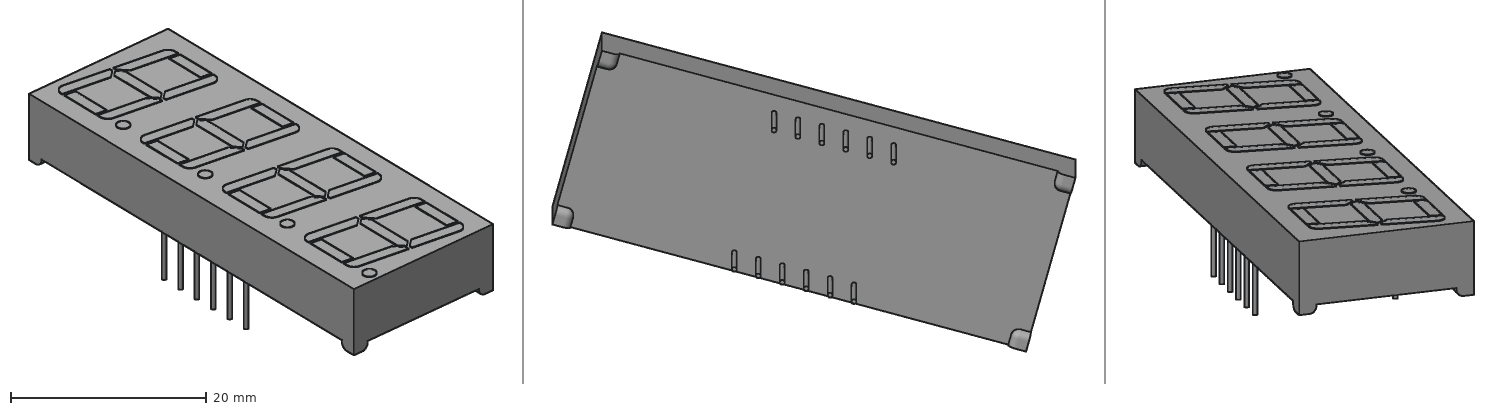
import cadquery as cq
import math

BODY_LENGTH = 50.3
BODY_WIDTH = 19.0
BODY_TOP = 8.0
UNDERSIDE = 0.95

FOOT_SIZE = 1.9
FOOT_ROUND = 0.8

GRID = 2.54
PIN_DIAMETER = 0.51
PIN_LENGTH_BELOW_FEET = 6.3
PINS_PER_ROW = 6
PIN_ROW_SPACING = 6 * GRID

RAISE = 0.1
DIGIT_COUNT = 4
DIGIT_PITCH = 5 * GRID
SLANT = math.tan(math.radians(8.0))
HALF_WIDTH = 4.07
HALF_HEIGHT = 7.05
SEGMENT_WIDTH = 1.36
SEGMENT_GAP = 0.27
MIDDLE_TIP = 3.5
UPRIGHT_END = 0.23
DIGIT_CORNER_RADIUS = 1.0

POINT_DIAMETER = 1.5
POINT_OFFSET = 4.87


def centred_positions(count, pitch):
    return [(i - (count - 1) / 2) * pitch for i in range(count)]


def make_body():
    height = BODY_TOP - UNDERSIDE
    return (
        cq.Workplane("XY")
        .workplane(offset=UNDERSIDE)
        .rect(BODY_LENGTH, BODY_WIDTH)
        .extrude(height)
    )


def make_foot(side_x, side_y):
    """Square foot at one corner, its two inner bottom edges rounded."""
    foot = cq.Workplane("XY").box(FOOT_SIZE, FOOT_SIZE, UNDERSIDE, centered=(True, True, False))
    inner_x = "<X" if side_x > 0 else ">X"
    inner_y = "<Y" if side_y > 0 else ">Y"
    foot = foot.faces(inner_x).edges("<Z").fillet(FOOT_ROUND)
    foot = foot.faces(inner_y).edges("<Z").fillet(FOOT_ROUND)
    centre_x = side_x * (BODY_LENGTH - FOOT_SIZE) / 2
    centre_y = side_y * (BODY_WIDTH - FOOT_SIZE) / 2
    return foot.translate((centre_x, centre_y, 0))


def make_pins():
    rows = centred_positions(2, PIN_ROW_SPACING)
    columns = centred_positions(PINS_PER_ROW, GRID)
    return (
        cq.Workplane("XY")
        .workplane(offset=-PIN_LENGTH_BELOW_FEET)
        .pushPoints([(x, y) for x in columns for y in rows])
        .circle(PIN_DIAMETER / 2)
        .extrude(PIN_LENGTH_BELOW_FEET + UNDERSIDE)
    )


def make_segment(outline, centre_x):
    """Raised plate from an upright outline, leaned over and moved to its digit."""
    leaned = [(centre_x + x + SLANT * y, y) for x, y in outline]
    return cq.Workplane("XY").workplane(offset=BODY_TOP).polyline(leaned).close().extrude(RAISE)


def make_end_bar(side_y, centre_x):
    """Top or bottom bar of a digit."""
    half_length = HALF_WIDTH - SEGMENT_WIDTH - SEGMENT_GAP
    outer = side_y * HALF_HEIGHT
    inner = side_y * (HALF_HEIGHT - SEGMENT_WIDTH)
    outline = [
        (-half_length, outer),
        (half_length, outer),
        (half_length, inner),
        (-half_length, inner),
    ]
    return make_segment(outline, centre_x)


def make_middle_bar(centre_x):
    """Middle bar of a digit, pointed at both ends."""
    half_height = SEGMENT_WIDTH / 2
    shoulder = MIDDLE_TIP - half_height
    outline = [
        (-MIDDLE_TIP, 0),
        (-shoulder, half_height),
        (shoulder, half_height),
        (MIDDLE_TIP, 0),
        (shoulder, -half_height),
        (-shoulder, -half_height),
    ]
    return make_segment(outline, centre_x)


def make_upright(side_x, side_y, centre_x):
    """Side segment: rounded outer corner, bevelled end beside the middle bar."""
    inner = HALF_WIDTH - SEGMENT_WIDTH
    bevel_sum = MIDDLE_TIP + SEGMENT_GAP * math.sqrt(2)
    outline = [
        (side_x * HALF_WIDTH, side_y * HALF_HEIGHT),
        (side_x * inner, side_y * HALF_HEIGHT),
        (side_x * inner, side_y * (bevel_sum - inner)),
        (side_x * (bevel_sum - UPRIGHT_END), side_y * UPRIGHT_END),
        (side_x * HALF_WIDTH, side_y * UPRIGHT_END),
    ]
    corner_x = centre_x + side_x * HALF_WIDTH + SLANT * side_y * HALF_HEIGHT
    corner = (corner_x, side_y * HALF_HEIGHT, BODY_TOP)
    upright = make_segment(outline, centre_x)
    outer_edge = upright.edges("|Z").edges(cq.selectors.NearestToPointSelector(corner))
    return outer_edge.fillet(DIGIT_CORNER_RADIUS)


def make_decimal_point(centre_x):
    centre = (centre_x + POINT_OFFSET, POINT_DIAMETER / 2 - HALF_HEIGHT)
    return (
        cq.Workplane("XY")
        .workplane(offset=BODY_TOP)
        .center(*centre)
        .circle(POINT_DIAMETER / 2)
        .extrude(RAISE)
    )


def make_digit(centre_x):
    pieces = [make_middle_bar(centre_x), make_decimal_point(centre_x)]
    for side_y in (-1, 1):
        pieces.append(make_end_bar(side_y, centre_x))
        for side_x in (-1, 1):
            pieces.append(make_upright(side_x, side_y, centre_x))
    return pieces


result = make_body().union(make_pins())

for side_x in (-1, 1):
    for side_y in (-1, 1):
        result = result.union(make_foot(side_x, side_y))

for centre_x in centred_positions(DIGIT_COUNT, DIGIT_PITCH):
    for piece in make_digit(centre_x):
        result = result.union(piece)